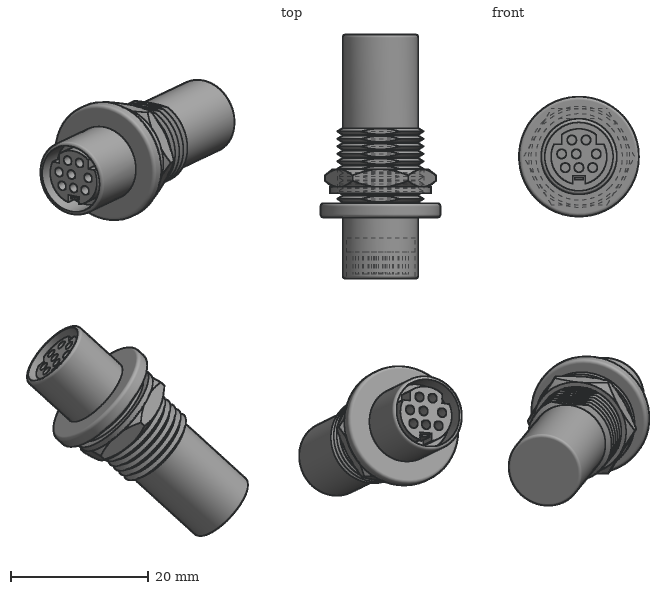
import cadquery as cq
import math


LENGTH = 35.55
FRONT_Y = -LENGTH / 2
BODY_RADIUS = 5.5
END_FILLET = 0.43
BORE_RADIUS = 4.98
BORE_DEPTH = 5.97

FLANGE_RADIUS = 8.75
FLANGE_FRONT_Y = -8.9
FLANGE_THICKNESS = 2.15
FLANGE_BACK_Y = FLANGE_FRONT_Y + FLANGE_THICKNESS
FLANGE_FILLET = 0.5

THREAD_RADIUS = 6.3
THREAD_END_Y = 4.15
THREAD_LENGTH = THREAD_END_Y - FLANGE_BACK_Y
RIDGE_COUNT = 10
RIDGE_PITCH = THREAD_LENGTH / RIDGE_COUNT
ROOT_GAP = 0.1
RIDGE_WIDTH = RIDGE_PITCH - ROOT_GAP
FLAT_HEIGHT = 5.62

WASHER_RADIUS = 7.35
WASHER_THICKNESS = 0.92
WASHER_FRONT_Y = -5.35
NUT_FRONT_Y = WASHER_FRONT_Y + WASHER_THICKNESS
NUT_THICKNESS = 2.55
NUT_ACROSS_FLATS = 14.0
NUT_CORNER_RADIUS = NUT_ACROSS_FLATS / 2 / math.cos(math.radians(30))
NUT_CHAMFER_DEPTH = 0.9

INSERT_SETBACK = 0.7
BASE_THICKNESS = 2.05
BOSS_LENGTH = BORE_DEPTH - INSERT_SETBACK - BASE_THICKNESS
INSERT_FACE_Y = FRONT_Y + INSERT_SETBACK
BASE_FRONT_Y = INSERT_FACE_Y + BOSS_LENGTH
BOSS_RADIUS = 4.05
SHOULDER_HALF_WIDTH = 2.52
SHOULDER_Z = 1.78
KEYWAY_WIDTH = 1.85
KEYWAY_TOP_Z = -2.8
BLADE_WIDTH = 1.25
BLADE_HEIGHT = 0.3
BLADE_Z = -3.25
BLADE_SETBACK = 0.18
PIN_HOLE_RADIUS = 0.68
TOP_ROW_X = 1.03
TOP_ROW_Z = 2.42
MIDDLE_ROW_X = 2.52
MIDDLE_PIN_X = -0.4
MIDDLE_ROW_Z = 0.4
BOTTOM_ROW_X = 2.0
BOTTOM_ROW_Z = -1.6
PIN_HOLES = [
    (-TOP_ROW_X, TOP_ROW_Z),
    (TOP_ROW_X, TOP_ROW_Z),
    (-MIDDLE_ROW_X, MIDDLE_ROW_Z),
    (MIDDLE_PIN_X, MIDDLE_ROW_Z),
    (MIDDLE_ROW_X, MIDDLE_ROW_Z),
    (-BOTTOM_ROW_X, BOTTOM_ROW_Z),
    (0, BOTTOM_ROW_Z),
    (BOTTOM_ROW_X, BOTTOM_ROW_Z),
]


def plane_at(y):
    """Workplane across the axis at y, with local axes X and Z; extrude(-d) goes d toward +Y."""
    return cq.Workplane("XZ", origin=(0, y, 0))


def disc(radius, y_start, y_end):
    return plane_at(y_start).circle(radius).extrude(y_start - y_end)


def slab(x_min, x_max, z_min, z_max, y_start, y_end):
    """Rectangular block between the given limits."""
    size = (x_max - x_min, y_end - y_start, z_max - z_min)
    return cq.Workplane().box(*size, centered=False).translate((x_min, y_start, z_min))


def make_thread():
    """Root cylinder with V ridges, turned about the axis and flattened on top."""
    outline = cq.Workplane("XY").moveTo(0, FLANGE_BACK_Y).lineTo(BODY_RADIUS, FLANGE_BACK_Y)
    for index in range(RIDGE_COUNT):
        ridge_start_y = FLANGE_BACK_Y + index * RIDGE_PITCH + ROOT_GAP
        outline = outline.lineTo(BODY_RADIUS, ridge_start_y)
        outline = outline.lineTo(THREAD_RADIUS, ridge_start_y + RIDGE_WIDTH / 2)
        outline = outline.lineTo(BODY_RADIUS, ridge_start_y + RIDGE_WIDTH)
    outline = outline.lineTo(0, THREAD_END_Y).close()
    thread = outline.revolve(360, (0, 0, 0), (0, 1, 0))
    above_flat = slab(
        -THREAD_RADIUS, THREAD_RADIUS, FLAT_HEIGHT, THREAD_RADIUS, FLANGE_BACK_Y, THREAD_END_Y
    )
    return thread.cut(above_flat)


def make_housing():
    """Round body with a flange, a thread behind it and a blind bore in the front end."""
    body = disc(BODY_RADIUS, FRONT_Y, -FRONT_Y).edges("%CIRCLE").fillet(END_FILLET)
    flange = disc(FLANGE_RADIUS, FLANGE_FRONT_Y, FLANGE_BACK_Y).edges("%CIRCLE").fillet(FLANGE_FILLET)
    bore = disc(BORE_RADIUS, FRONT_Y, FRONT_Y + BORE_DEPTH)
    return body.union(flange).union(make_thread()).cut(bore)


def make_washer():
    return (
        plane_at(WASHER_FRONT_Y)
        .circle(WASHER_RADIUS)
        .circle(THREAD_RADIUS)
        .extrude(-WASHER_THICKNESS)
    )


def make_nut():
    """Hexagon with flats facing up and down and its corners coned off at both ends."""
    back_y = NUT_FRONT_Y + NUT_THICKNESS
    face_radius = NUT_ACROSS_FLATS / 2
    hexagon = plane_at(NUT_FRONT_Y).polygon(6, 2 * NUT_CORNER_RADIUS).extrude(-NUT_THICKNESS)
    coned_blank = (
        cq.Workplane("XY")
        .moveTo(0, NUT_FRONT_Y)
        .lineTo(face_radius, NUT_FRONT_Y)
        .lineTo(NUT_CORNER_RADIUS, NUT_FRONT_Y + NUT_CHAMFER_DEPTH)
        .lineTo(NUT_CORNER_RADIUS, back_y - NUT_CHAMFER_DEPTH)
        .lineTo(face_radius, back_y)
        .lineTo(0, back_y)
        .close()
        .revolve(360, (0, 0, 0), (0, 1, 0))
    )
    return hexagon.intersect(coned_blank).cut(disc(THREAD_RADIUS, NUT_FRONT_Y, back_y))


def make_boss():
    """Round boss with a cut-away shoulder on each side, a keyway below and the pin holes."""
    boss = disc(BOSS_RADIUS, INSERT_FACE_Y, BASE_FRONT_Y)
    for x_min, x_max in [(-BOSS_RADIUS, -SHOULDER_HALF_WIDTH), (SHOULDER_HALF_WIDTH, BOSS_RADIUS)]:
        boss = boss.cut(slab(x_min, x_max, SHOULDER_Z, BOSS_RADIUS, INSERT_FACE_Y, BASE_FRONT_Y))
    keyway = slab(
        -KEYWAY_WIDTH / 2, KEYWAY_WIDTH / 2, -BOSS_RADIUS, KEYWAY_TOP_Z, INSERT_FACE_Y, BASE_FRONT_Y
    )
    pin_holes = plane_at(INSERT_FACE_Y).pushPoints(PIN_HOLES).circle(PIN_HOLE_RADIUS).extrude(-BOSS_LENGTH)
    return boss.cut(keyway).cut(pin_holes)


def make_insert():
    """Keyed boss on its base disc, with a thin blade standing in the keyway."""
    base = disc(BORE_RADIUS, BASE_FRONT_Y, BASE_FRONT_Y + BASE_THICKNESS)
    blade = (
        plane_at(INSERT_FACE_Y + BLADE_SETBACK)
        .center(0, BLADE_Z)
        .rect(BLADE_WIDTH, BLADE_HEIGHT)
        .extrude(BLADE_SETBACK - BOSS_LENGTH)
    )
    return base.union(make_boss()).union(blade)


housing = make_housing()
washer = make_washer()
nut = make_nut()
insert = make_insert()

result = cq.Compound.makeCompound([housing.val(), washer.val(), nut.val(), insert.val()])